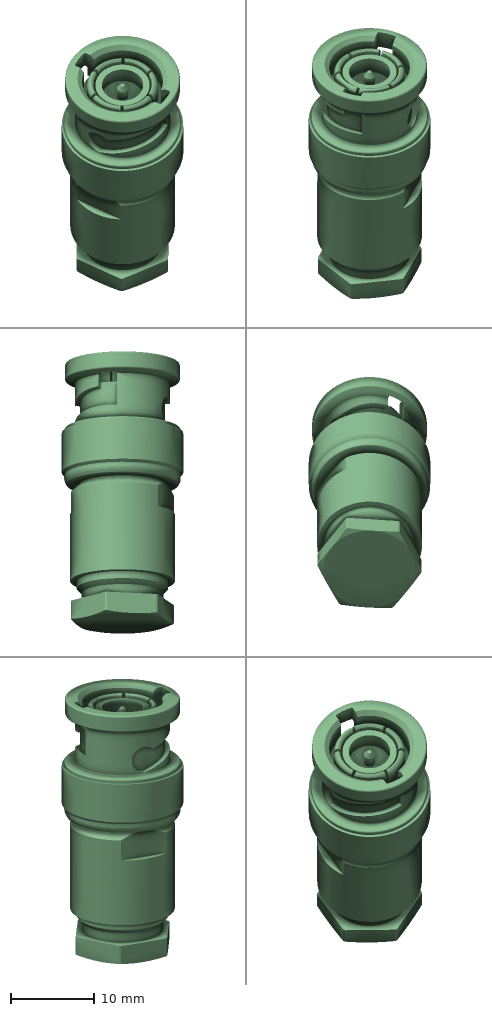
import cadquery as cq
import math

total_height = 31.93

hex_across_flats = 10.98
hex_corner_diameter = 12.55
hex_height = 2.5
hex_turn = 30
hex_bevel_diameter = 10.98
hex_bevel_height = 0.22
nut_neck_diameter = 9.8
nut_shoulder_diameter = 10.98
nut_shoulder_bottom = 4.28
nut_shoulder_chamfer = (nut_shoulder_diameter - nut_neck_diameter) / 2

body_diameter = 12.58
body_bottom = 5.17
body_shoulder = 15.93
flat_spacing = 10.98
flat_bottom = 13.38

ring_diameter = 14.6
ring_step_diameter = 14.0
ring_bottom = 17.05
ring_lower_step = 18.25
ring_chamfer = (ring_diameter - ring_step_diameter) / 2
ring_upper_step = 23.4
ring_top = 23.9
ring_top_fillet = 0.2
ring_foot_height = 0.55
ring_foot_inset = 0.3
ring_foot_upper_fillet = 0.65
ring_foot_lower_fillet = 0.2

neck_diameter = 11.4
neck_root_fillet = 0.22
head_diameter = 13.8
head_cone_bottom = 29.5
head_bottom = 29.92
head_fillet = 0.22
mouth_bore = 9.7
mouth_diameter = 10.8
mouth_depth = 0.48

slot_width = 2.33
slot_angle = 15.0
detent_radius = 1.6
detent_height = 25.8
entry_outer_diameter = 12.2

core_diameter = 10.15
core_top = 28.65

finger_max_diameter = 8.53
finger_bulge_height = 30.33
finger_rim_diameter = 7.5
finger_lip_diameter = 7.02
finger_top = 31.15
finger_lip_depth = 0.2
finger_slot_width = 0.38
finger_slot_count = 6

insulator_diameter = 6.5
insulator_bore = 4.95
insulator_top = 30.72
pin_diameter = 1.35
pin_tip_diameter = 0.5
pin_shoulder = 30.15
pin_top = 30.72


def cylinder(diameter, bottom, top):
    return cq.Workplane("XY").workplane(offset=bottom).circle(diameter / 2).extrude(top - bottom)


def turned(profile):
    """Revolve (diameter, height) points about the Z axis."""
    points = [(diameter / 2, height) for diameter, height in profile]
    return cq.Workplane("XZ").polyline(points).close().revolve(360, (0, 0), (0, 1))


def clamping_nut():
    hexagon = cq.Workplane("XY").polygon(6, hex_across_flats, circumscribed=True).extrude(hex_height)
    hexagon = hexagon.rotate((0, 0, 0), (0, 0, 1), hex_turn)
    trimmed_blank = turned([
        (0, 0),
        (hex_bevel_diameter, 0),
        (hex_corner_diameter, hex_bevel_height),
        (hex_corner_diameter, hex_height),
        (0, hex_height),
    ])
    neck = turned([
        (0, 0),
        (nut_neck_diameter, 0),
        (nut_neck_diameter, nut_shoulder_bottom - nut_shoulder_chamfer),
        (nut_shoulder_diameter, nut_shoulder_bottom),
        (nut_shoulder_diameter, body_bottom),
        (0, body_bottom),
    ])
    return hexagon.intersect(trimmed_blank).union(neck)


def rear_body():
    cone_top_diameter = body_diameter - 2 * (ring_bottom - body_shoulder)
    body = turned([
        (0, body_bottom),
        (body_diameter, body_bottom),
        (body_diameter, body_shoulder),
        (cone_top_diameter, ring_bottom),
        (0, ring_bottom),
    ])
    flat_zone = cylinder(2 * body_diameter, flat_bottom, ring_bottom)
    between_flats = cq.Workplane("XY").box(2 * body_diameter, flat_spacing, 2 * ring_bottom)
    return body.cut(flat_zone.cut(between_flats))


def coupling_ring():
    ring = turned([
        (0, ring_bottom),
        (ring_step_diameter - 2 * ring_foot_inset, ring_bottom),
        (ring_step_diameter, ring_bottom + ring_foot_height),
        (ring_step_diameter, ring_lower_step),
        (ring_diameter, ring_lower_step + ring_chamfer),
        (ring_diameter, ring_upper_step),
        (ring_step_diameter, ring_upper_step),
        (ring_step_diameter, ring_top),
        (0, ring_top),
    ])
    foot_edge = cq.selectors.NearestToPointSelector((0, 0, ring_bottom + ring_foot_height))
    ring = ring.edges(foot_edge).fillet(ring_foot_upper_fillet)
    ring = ring.faces("<Z").edges().fillet(ring_foot_lower_fillet)
    return ring.faces(">Z").edges().fillet(ring_top_fillet)


def bayonet_slot():
    """Slot entering at +X, descending along a slanted ramp to the detent at -Y."""
    reach = ring_diameter
    half_width = slot_width / 2
    slope = math.radians(slot_angle)
    ramp_offset = detent_radius - half_width
    ramp_x = ramp_offset * math.sin(slope)
    ramp_z = detent_height - ramp_offset * math.cos(slope)
    ramp = (
        cq.Workplane("XZ", origin=(ramp_x, half_width, ramp_z))
        .transformed(rotate=(0, 0, slot_angle))
        .rect(reach, slot_width)
        .extrude(reach)
    )
    right_half = cq.Workplane("XY").box(reach, 2 * reach, 2 * total_height).translate((reach / 2, 0, 0))
    detent = cq.Workplane("XZ").center(0, detent_height).circle(detent_radius).extrude(reach)
    entry_bottom = ramp_z + neck_diameter / 2 * math.tan(slope)
    entry = (
        cq.Workplane("YZ")
        .center(0, (entry_bottom + total_height) / 2)
        .rect(slot_width, total_height - entry_bottom)
        .extrude(entry_outer_diameter)
    )
    outer_limit = cylinder(entry_outer_diameter, 0, total_height)
    return ramp.intersect(right_half).union(detent).union(entry).intersect(outer_limit)


def coupling_sleeve():
    """Neck and flared head around the core, with two opposite bayonet slots."""
    head = turned([
        (0, ring_top),
        (neck_diameter, ring_top),
        (neck_diameter, head_cone_bottom),
        (head_diameter, head_bottom),
        (head_diameter, total_height),
        (0, total_height),
    ])
    widest_edges = cq.selectors.RadiusNthSelector(-1)
    head = head.edges(widest_edges).fillet(head_fillet)
    sleeve = coupling_ring().union(head)
    ring_shoulder = sleeve.faces("|Z").faces(">Z[-2]")
    sleeve = ring_shoulder.edges(cq.selectors.RadiusNthSelector(0)).fillet(neck_root_fillet)
    cavity = turned([
        (0, ring_bottom),
        (core_diameter, ring_bottom),
        (core_diameter, core_top),
        (mouth_bore, core_top),
        (mouth_bore, total_height - mouth_depth),
        (mouth_diameter, total_height),
        (0, total_height),
    ])
    sleeve = sleeve.cut(cavity)
    for angle in (0, 180):
        sleeve = sleeve.cut(bayonet_slot().rotate((0, 0, 0), (0, 0, 1), angle))
    return sleeve


def spring_fingers():
    bulge_drop = finger_top - finger_bulge_height
    bulge_run = (finger_max_diameter - finger_rim_diameter) / 2
    diagonal = math.sqrt(0.5)
    arc_middle = (
        finger_rim_diameter / 2 + bulge_run * diagonal,
        finger_bulge_height + bulge_drop * diagonal,
    )
    fingers = (
        cq.Workplane("XZ")
        .moveTo(insulator_diameter / 2, core_top)
        .lineTo(finger_max_diameter / 2, core_top)
        .lineTo(finger_max_diameter / 2, finger_bulge_height)
        .threePointArc(arc_middle, (finger_rim_diameter / 2, finger_top))
        .lineTo(finger_lip_diameter / 2, finger_top - finger_lip_depth)
        .close()
        .revolve(360, (0, 0), (0, 1))
    )
    finger_slot = (
        cq.Workplane("XY")
        .workplane(offset=core_top)
        .center(finger_max_diameter / 2, 0)
        .rect(finger_max_diameter, finger_slot_width)
        .extrude(finger_top - core_top)
    )
    for index in range(finger_slot_count):
        angle = index * 360 / finger_slot_count
        fingers = fingers.cut(finger_slot.rotate((0, 0, 0), (0, 0, 1), angle))
    return fingers


def core():
    """Solid core carrying the spring fingers, the insulator tube and the centre pin."""
    base = cylinder(core_diameter, ring_bottom, core_top)
    insulator = cylinder(insulator_diameter, core_top, insulator_top)
    insulator = insulator.cut(cylinder(insulator_bore, core_top, insulator_top))
    pin = turned([
        (0, core_top),
        (pin_diameter, core_top),
        (pin_diameter, pin_shoulder),
        (pin_tip_diameter, pin_top),
        (0, pin_top),
    ])
    return base.union(insulator).union(spring_fingers()).union(pin)


result = clamping_nut().union(rear_body()).union(coupling_sleeve()).union(core())